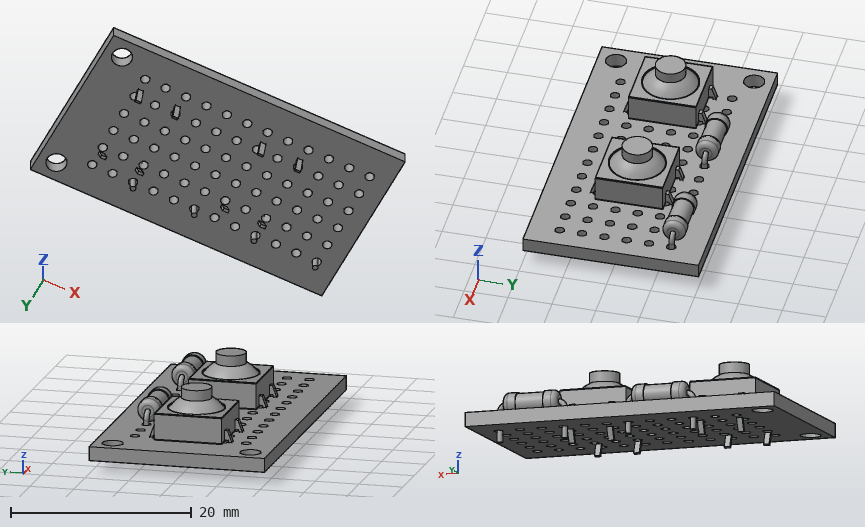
import cadquery as cq
import math


BOARD_LENGTH = 36.32
BOARD_WIDTH = 20.0
BOARD_THICKNESS = 1.6
MOUNT_HOLE_DIAMETER = 2.32
MOUNT_HOLE_INSET = 2.15
GRID_PITCH = 2.55
GRID_COLUMNS = 12
GRID_ROWS = 6
GRID_HOLE_DIAMETER = 1.0
GRID_X = 5.77
GRID_Y = 3.55

BUTTON_COLUMNS = (1, 7)
BUTTON_CENTRE_Y = 9.88
BUTTON_LENGTH = 7.77
BUTTON_WIDTH = 7.7
BUTTON_HEIGHT = 3.1
PLATE_THICKNESS = 0.1
PLATE_INSET_X = 0.1
PLATE_INSET_Y = 0.018
PLATE_HOLE_DIAMETER = 6.43
DOME_RADIUS = 3.8
DOME_CENTRE_Z = 0.75
CAP_DIAMETER = 3.38
CAP_TOP_Z = 5.38

LEG_SPACING = 4.6
LEG_WIDTH = 0.65
LEG_THICKNESS = 0.33
LEG_ANGLE = math.radians(20)
LEG_TOP_Z = 1.3
LEG_TOP_REACH = 0.35
LEG_FOOT_Z = 0.2
LEG_TIP_Z = -3.1
LEG_TIP_REACH = 0.45

RESISTOR_CENTRES_X = (14.67, 29.75)
RESISTOR_LENGTH = 6.35
RESISTOR_AXIS_Z = 1.3
SLEEVE_DIAMETER = 2.32
END_DIAMETER = 2.58
END_LENGTH = 1.55
END_ROUNDING = 0.6
LEAD_DIAMETER = 0.6
LEAD_SPACING = 7.63
LEAD_BEND_RADIUS = 0.87
LEAD_TIP_Z = -2.87


def grid_x(column):
    return GRID_X + column * GRID_PITCH


def grid_y(row):
    return GRID_Y + row * GRID_PITCH


def make_leg():
    """One bent leg: Y runs outward from the button's side, X is centred on the leg."""
    slope = math.tan(LEG_ANGLE)
    level_thickness = LEG_THICKNESS / math.cos(LEG_ANGLE)

    rise = (LEG_TIP_REACH - LEG_TOP_REACH) / slope
    knee_z = (LEG_TOP_Z + LEG_TIP_Z - rise) / 2
    knee_reach = LEG_TOP_REACH + (LEG_TOP_Z - knee_z) * slope
    foot_reach = LEG_TOP_REACH + (LEG_TOP_Z - LEG_FOOT_Z) * slope - level_thickness

    inner_tip = (
        LEG_TIP_REACH - LEG_THICKNESS * math.cos(LEG_ANGLE),
        LEG_TIP_Z + LEG_THICKNESS * math.sin(LEG_ANGLE),
    )
    outline = [
        (0, LEG_TOP_Z),
        (LEG_TOP_REACH, LEG_TOP_Z),
        (knee_reach, knee_z),
        (LEG_TIP_REACH, LEG_TIP_Z),
        inner_tip,
        (knee_reach - level_thickness, knee_z),
        (foot_reach, LEG_FOOT_Z),
        (0, LEG_FOOT_Z),
    ]
    return cq.Workplane("YZ").polyline(outline).close().extrude(LEG_WIDTH / 2, both=True)


def make_plunger():
    """Spherical dome that runs up to a flat cap, turned about the Z axis."""
    cap_radius = CAP_DIAMETER / 2
    base_z = BUTTON_HEIGHT - PLATE_THICKNESS
    dome_top_z = DOME_CENTRE_Z + math.sqrt(DOME_RADIUS**2 - cap_radius**2)
    middle_z = (base_z + dome_top_z) / 2

    def dome_reach(z):
        return math.sqrt(DOME_RADIUS**2 - (z - DOME_CENTRE_Z) ** 2)

    return (
        cq.Workplane("XZ")
        .moveTo(0, base_z)
        .lineTo(dome_reach(base_z), base_z)
        .threePointArc((dome_reach(middle_z), middle_z), (cap_radius, dome_top_z))
        .lineTo(cap_radius, CAP_TOP_Z)
        .lineTo(0, CAP_TOP_Z)
        .close()
        .revolve(360, (0, 0, 0), (0, 1, 0))
    )


def make_button():
    """Push button centred on the Z axis, standing on Z = 0."""
    plate_length = BUTTON_LENGTH - 2 * PLATE_INSET_X
    plate_width = BUTTON_WIDTH - 2 * PLATE_INSET_Y
    plate_base_z = BUTTON_HEIGHT - PLATE_THICKNESS
    block_height = BUTTON_HEIGHT - 2 * PLATE_THICKNESS

    bottom_plate = cq.Workplane("XY").rect(plate_length, plate_width).extrude(PLATE_THICKNESS)
    block = (
        cq.Workplane("XY", origin=(0, 0, PLATE_THICKNESS))
        .rect(BUTTON_LENGTH, BUTTON_WIDTH)
        .extrude(block_height)
    )
    top_plate = (
        cq.Workplane("XY", origin=(0, 0, plate_base_z))
        .rect(plate_length, plate_width)
        .circle(PLATE_HOLE_DIAMETER / 2)
        .extrude(PLATE_THICKNESS)
    )
    button = block.union(bottom_plate).union(top_plate).union(make_plunger())

    for x in (-LEG_SPACING / 2, LEG_SPACING / 2):
        leg = make_leg().translate((x, BUTTON_WIDTH / 2, 0))
        button = button.union(leg).union(leg.mirror("XZ"))
    return button


def make_lead():
    """Lead on the +X side of a resistor: out along the axis, then bent down."""
    lead_x = LEAD_SPACING / 2
    bend_x = lead_x - LEAD_BEND_RADIUS
    bend_z = RESISTOR_AXIS_Z - LEAD_BEND_RADIUS
    diagonal = LEAD_BEND_RADIUS * math.sqrt(0.5)
    path = (
        cq.Workplane("XZ")
        .moveTo(lead_x, LEAD_TIP_Z)
        .lineTo(lead_x, bend_z)
        .threePointArc((bend_x + diagonal, bend_z + diagonal), (bend_x, RESISTOR_AXIS_Z))
    )
    return (
        cq.Workplane("XY", origin=(lead_x, 0, LEAD_TIP_Z))
        .circle(LEAD_DIAMETER / 2)
        .sweep(path)
    )


def make_resistor():
    """Resistor along X, centred on X = 0 and Y = 0, with both leads."""
    sleeve = (
        cq.Workplane("YZ", origin=(0, 0, RESISTOR_AXIS_Z))
        .circle(SLEEVE_DIAMETER / 2)
        .extrude(RESISTOR_LENGTH / 2 - END_LENGTH, both=True)
    )
    end = (
        cq.Workplane("YZ", origin=(RESISTOR_LENGTH / 2 - END_LENGTH, 0, RESISTOR_AXIS_Z))
        .circle(END_DIAMETER / 2)
        .extrude(END_LENGTH)
        .faces(">X")
        .edges()
        .fillet(END_ROUNDING)
    )
    lead_end = end.union(make_lead())
    return sleeve.union(lead_end).union(lead_end.mirror("YZ"))


def make_board(buttons):
    """Perforated board, with slots that the legs of the buttons fill."""
    board = cq.Workplane("XY").box(
        BOARD_LENGTH, BOARD_WIDTH, BOARD_THICKNESS, centered=False
    ).translate((0, 0, -BOARD_THICKNESS))

    mount_points = [
        (MOUNT_HOLE_INSET, MOUNT_HOLE_INSET),
        (MOUNT_HOLE_INSET, BOARD_WIDTH - MOUNT_HOLE_INSET),
    ]
    grid_points = [
        (grid_x(column), grid_y(row))
        for column in range(GRID_COLUMNS)
        for row in range(GRID_ROWS)
    ]
    for points, diameter in (
        (mount_points, MOUNT_HOLE_DIAMETER),
        (grid_points, GRID_HOLE_DIAMETER),
    ):
        holes = cq.Workplane("XY").pushPoints(points).circle(diameter / 2).extrude(-BOARD_THICKNESS)
        board = board.cut(holes)

    for button in buttons:
        board = board.cut(button)
    return board


buttons = [
    make_button().translate((grid_x(column), BUTTON_CENTRE_Y, 0))
    for column in BUTTON_COLUMNS
]
resistors = [
    make_resistor().translate((x, grid_y(GRID_ROWS - 1), 0)) for x in RESISTOR_CENTRES_X
]
board = make_board(buttons)

bodies = [board, *buttons, *resistors]
result = cq.Compound.makeCompound([body.solids().val() for body in bodies])